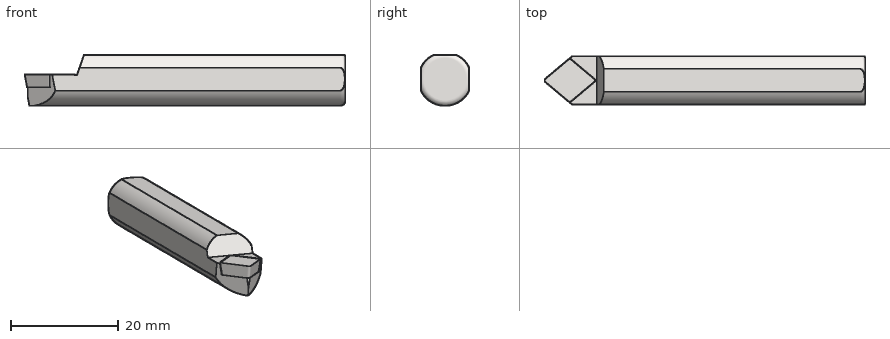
import cadquery as cq
import math

LENGTH = 59.8
BAR_DIAMETER = 10.0
FLATS_WIDTH = 9.0
BAR_RADIUS = BAR_DIAMETER / 2
FLAT_OFFSET = FLATS_WIDTH / 2
TAIL_FILLET = 1.0

INSERT_INSCRIBED_DIAMETER = 6.35
INSERT_HALF_ANGLE = math.radians(40)
INSERT_THICKNESS = 2.4
INSERT_TOP = 0.9
CLEARANCE_DEGREES = 7.0
CORNER_RADIUS = 0.4

SEAT_FLOOR = 0.8
SEAT_WALL_FOOT = 9.75
SEAT_WALL_HEAD = 11.05

NOSE_FLAT = 0.6

SIDE = INSERT_INSCRIBED_DIAMETER / math.sin(2 * INSERT_HALF_ANGLE)
LONG_HALF = SIDE * math.cos(INSERT_HALF_ANGLE)
SHORT_HALF = SIDE * math.sin(INSERT_HALF_ANGLE)
NOSE_SETBACK = CORNER_RADIUS / math.sin(INSERT_HALF_ANGLE) - CORNER_RADIUS
INSERT_CENTRE = LONG_HALF - NOSE_SETBACK


def make_insert_blank():
    """Sharp-cornered rhombic plate that narrows downward."""
    return (
        cq.Workplane("XY", origin=(INSERT_CENTRE, 0, INSERT_TOP))
        .polyline([(-LONG_HALF, 0), (0, -SHORT_HALF), (LONG_HALF, 0), (0, SHORT_HALF)])
        .close()
        .extrude(-INSERT_THICKNESS, taper=CLEARANCE_DEGREES)
    )


def make_insert():
    """Rhombic plate with its four corners rounded."""
    return make_insert_blank().edges("not #Z").fillet(CORNER_RADIUS)


def make_bar():
    """Flatted round bar with a rounded tail end."""
    bar = cq.Workplane("YZ").circle(BAR_RADIUS).extrude(LENGTH)
    bar = bar.faces(">X").edges().fillet(TAIL_FILLET)
    flats = (
        cq.Workplane("YZ")
        .center(0, (FLAT_OFFSET - BAR_RADIUS) / 2)
        .rect(FLATS_WIDTH, FLAT_OFFSET + BAR_RADIUS)
        .extrude(LENGTH)
    )
    return bar.intersect(flats)


def make_seat_cutter():
    """Space above the seat floor, ending at a sloped back wall."""
    return (
        cq.Workplane("XZ")
        .polyline([
            (0, SEAT_FLOOR),
            (SEAT_WALL_FOOT, SEAT_FLOOR),
            (SEAT_WALL_HEAD, FLAT_OFFSET),
            (0, FLAT_OFFSET),
        ])
        .close()
        .extrude(FLAT_OFFSET, both=True)
    )


def make_point_envelope():
    """Wedge whose two relieved faces continue the front sides of the insert."""
    depth = INSERT_TOP + BAR_RADIUS
    nose = -NOSE_SETBACK
    reach = LENGTH
    half_width = reach * math.tan(INSERT_HALF_ANGLE)
    return (
        cq.Workplane("XY", origin=(0, 0, INSERT_TOP))
        .polyline([(nose, 0), (nose + reach, -half_width), (nose + reach, half_width)])
        .close()
        .extrude(-depth, taper=CLEARANCE_DEGREES)
    )


def make_head_waste():
    """Everything outside the pointed head, from the bar's underside to the seat floor."""
    head_blank = (
        cq.Workplane("XY", origin=(0, 0, -BAR_RADIUS))
        .rect(2 * SEAT_WALL_HEAD, BAR_DIAMETER)
        .extrude(BAR_RADIUS + SEAT_FLOOR)
    )
    in_front_of_nose = (
        cq.Workplane("XY", origin=(0, 0, -BAR_RADIUS))
        .rect(2 * NOSE_FLAT, BAR_DIAMETER)
        .extrude(BAR_RADIUS + SEAT_FLOOR)
    )
    return head_blank.cut(make_point_envelope().cut(in_front_of_nose))


def make_shank():
    """Bar with its pointed end, seat and a sharp-cornered pocket for the insert."""
    return make_bar().cut(make_seat_cutter()).cut(make_head_waste()).cut(make_insert_blank())


insert = make_insert()
shank = make_shank()

result = cq.Compound.makeCompound([shank.val(), insert.val()])